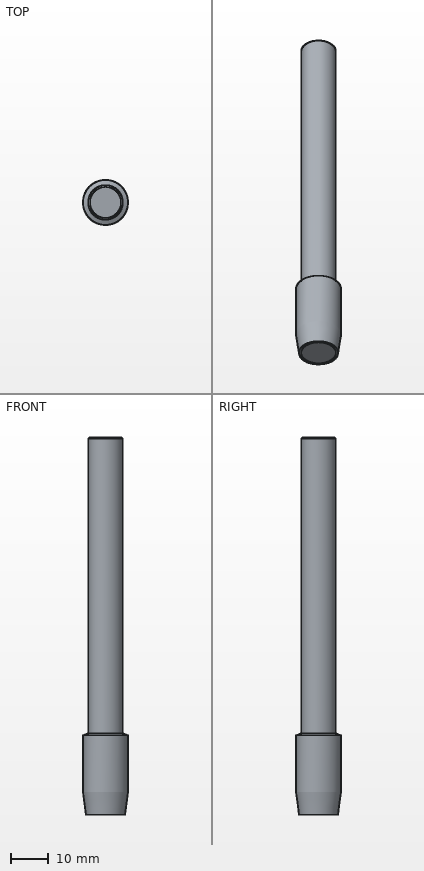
import cadquery as cq

rod_length = 100.0
rod_radius = 4.6
rod_chamfer = 0.5

sleeve_radius = 6.0
tip_radius = 5.2
taper_height = 6.0
shoulder_height = 21.0
sleeve_height = 21.6


def make_rod():
    """Round bar along Z, chamfered at its top edge."""
    return (
        cq.Workplane("XY")
        .circle(rod_radius)
        .extrude(rod_length)
        .faces(">Z")
        .chamfer(rod_chamfer)
    )


def make_sleeve():
    """Bored sleeve with a tapered lower end and a conical shoulder running up to the rod."""
    return (
        cq.Workplane("XZ")
        .moveTo(rod_radius, 0)
        .lineTo(tip_radius, 0)
        .lineTo(sleeve_radius, taper_height)
        .lineTo(sleeve_radius, shoulder_height)
        .lineTo(rod_radius, sleeve_height)
        .close()
        .revolve(360, (0, 0, 0), (0, 1, 0))
    )


rod = make_rod()
sleeve = make_sleeve()
result = cq.Compound.makeCompound([rod.val(), sleeve.val()])